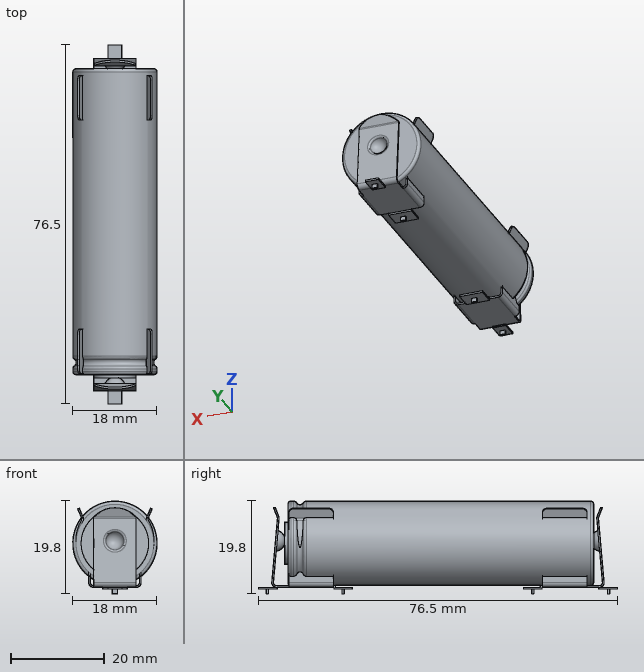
import cadquery as cq
import math

CELL_RADIUS = 18.0 / 2
CELL_NEGATIVE_END = 33.2
CELL_POSITIVE_END = -32.0
CELL_EDGE_RADIUS = 0.7
BUTTON_RADIUS = 4.5
BUTTON_HEIGHT = 0.7
SEAL_RADIUS = 7.2
SEAL_DEPTH = 0.1
GROOVE_CENTRE = -29.4
GROOVE_HALF_WIDTH = 1.4
GROOVE_DEPTH = 0.73

SHEET = 0.4
BEND_RADIUS = 1.0
INNER_BEND_RADIUS = BEND_RADIUS - SHEET
BASE_TOP = -CELL_RADIUS
BASE_BOTTOM = BASE_TOP - SHEET

ARM_INNER_END = 22.3
ARM_OUTER_END = 31.75
ARM_LENGTH = ARM_OUTER_END - ARM_INNER_END
CLIP_CENTRE = 0.5
ARM_RADIUS = 8.35
LEG_OUTSIDE = 5.6
LEG_TOP = -5.35
LIP_START_ANGLE = 33.0
LIP_LEAN = 23.0
LIP_LENGTH = 2.45
LIP_CORNER_RADIUS = 1.0

LEAF_WIDTH = 9.0
LEAF_FOOT = 35.5
LEAF_BASE = (LEAF_FOOT, BASE_BOTTOM)
LEAF_KNEE = (34.2, 5.4)
LEAF_TIP = (35.05, 7.6)
LEAF_TIP_RADIUS = 6.1

DIMPLE_INNER_RADIUS = 2.0
DIMPLE_OUTER_RADIUS = 2.3
DIMPLE_RIM_RADIUS = 0.5
DIMPLE_SETBACK = 0.15

TAB_TOP = BASE_BOTTOM
TAB_BOTTOM = TAB_TOP - SHEET
OUTER_TAB_WIDTH = 3.0
OUTER_TAB_START = 34.2
OUTER_TAB_END = 38.25
INNER_TAB_WIDTH = 5.3
INNER_TAB_START = 22.2
INNER_TAB_END = 18.2
TONGUE_END = INNER_TAB_START - SHEET
PIN_POSITIONS = (20.2, 36.35)
PIN_WIDTH = 1.15
PIN_THICKNESS = 0.5
OVERALL_HEIGHT = 19.8
PIN_BOTTOM = CELL_RADIUS - OVERALL_HEIGHT
PIN_CHAMFER = 0.15


def block(width, y_range, z_range):
    """Box centred in X that spans the given Y and Z ranges."""
    y_low, y_high = sorted(y_range)
    z_low, z_high = sorted(z_range)
    return (
        cq.Workplane("XY")
        .box(width, y_high - y_low, z_high - z_low, centered=(True, False, False))
        .translate((0, y_low, z_low))
    )


def make_cell():
    """Turned cell: crimp groove of four tangent arcs, rounded ends and a button."""
    edge_shift = CELL_EDGE_RADIUS * (1 - math.sqrt(0.5))
    rim_radius = CELL_RADIUS - CELL_EDGE_RADIUS
    floor_radius = CELL_RADIUS - GROOVE_DEPTH
    mid_radius = CELL_RADIUS - GROOVE_DEPTH / 2
    button_end = CELL_POSITIVE_END - BUTTON_HEIGHT
    profile = (
        cq.Workplane("XY")
        .moveTo(0, button_end)
        .lineTo(BUTTON_RADIUS, button_end)
        .lineTo(BUTTON_RADIUS, CELL_POSITIVE_END + SEAL_DEPTH)
        .lineTo(SEAL_RADIUS, CELL_POSITIVE_END + SEAL_DEPTH)
        .lineTo(SEAL_RADIUS, CELL_POSITIVE_END)
        .lineTo(rim_radius, CELL_POSITIVE_END)
        .threePointArc(
            (CELL_RADIUS - edge_shift, CELL_POSITIVE_END + edge_shift),
            (CELL_RADIUS, CELL_POSITIVE_END + CELL_EDGE_RADIUS),
        )
        .lineTo(CELL_RADIUS, GROOVE_CENTRE - GROOVE_HALF_WIDTH)
        .tangentArcPoint((mid_radius, GROOVE_CENTRE - GROOVE_HALF_WIDTH / 2), relative=False)
        .tangentArcPoint((floor_radius, GROOVE_CENTRE), relative=False)
        .tangentArcPoint((mid_radius, GROOVE_CENTRE + GROOVE_HALF_WIDTH / 2), relative=False)
        .tangentArcPoint((CELL_RADIUS, GROOVE_CENTRE + GROOVE_HALF_WIDTH), relative=False)
        .lineTo(CELL_RADIUS, CELL_NEGATIVE_END - CELL_EDGE_RADIUS)
        .threePointArc(
            (CELL_RADIUS - edge_shift, CELL_NEGATIVE_END - edge_shift),
            (rim_radius, CELL_NEGATIVE_END),
        )
        .lineTo(0, CELL_NEGATIVE_END)
        .close()
    )
    return profile.revolve(360, (0, 0, 0), (0, 1, 0))


def make_cradle():
    """Base plate with an upright leg along each side."""
    arm_range = (ARM_INNER_END, ARM_OUTER_END)
    outside = block(2 * LEG_OUTSIDE, arm_range, (BASE_BOTTOM, LEG_TOP))
    outside = outside.edges("|Y and <Z").fillet(BEND_RADIUS)
    inside = block(2 * (LEG_OUTSIDE - SHEET), arm_range, (BASE_TOP, LEG_TOP))
    inside = inside.edges("|Y and <Z").fillet(INNER_BEND_RADIUS)
    middle_radius = ARM_RADIUS - SHEET / 2
    arm_plane = cq.Workplane("XZ", origin=(0, 0, CLIP_CENTRE))
    arm_circle = arm_plane.circle(middle_radius).extrude(-ARM_OUTER_END)
    return outside.cut(inside).cut(arm_circle)


def make_arm():
    """Curved arm on the +X side with a lip that flares outward at its top."""
    inner_radius = ARM_RADIUS - SHEET
    leg_inside = LEG_OUTSIDE - SHEET
    start_angle = math.radians(LIP_START_ANGLE)
    lean = math.radians(LIP_LEAN)
    along = cq.Vector(math.sin(lean), math.cos(lean))
    across = cq.Vector(math.cos(lean), -math.sin(lean))

    outer_foot = (LEG_OUTSIDE, -math.sqrt(ARM_RADIUS**2 - LEG_OUTSIDE**2))
    inner_foot = (leg_inside, -math.sqrt(inner_radius**2 - leg_inside**2))
    outer_bend = cq.Vector(math.cos(start_angle), math.sin(start_angle)) * ARM_RADIUS
    outer_tip = outer_bend + along * LIP_LENGTH
    inner_tip = outer_tip - across * SHEET
    reach = inner_tip.dot(along)
    run = reach - math.sqrt(reach**2 - inner_tip.dot(inner_tip) + inner_radius**2)
    inner_bend = inner_tip - along * run

    profile = (
        cq.Workplane("XZ", origin=(0, ARM_INNER_END, CLIP_CENTRE))
        .moveTo(*outer_foot)
        .threePointArc((ARM_RADIUS, 0), (outer_bend.x, outer_bend.y))
        .lineTo(outer_tip.x, outer_tip.y)
        .lineTo(inner_tip.x, inner_tip.y)
        .lineTo(inner_bend.x, inner_bend.y)
        .threePointArc((inner_radius, 0), inner_foot)
        .close()
    )
    arm = profile.extrude(-ARM_LENGTH)
    tip = (outer_tip + inner_tip) * 0.5
    middle = (ARM_INNER_END + ARM_OUTER_END) / 2
    rounded_edges = (
        (outer_bend, middle, INNER_BEND_RADIUS),
        (inner_bend, middle, BEND_RADIUS),
        (tip, ARM_INNER_END, LIP_CORNER_RADIUS),
        (tip, ARM_OUTER_END, LIP_CORNER_RADIUS),
    )
    for point, y, radius in rounded_edges:
        edge = cq.selectors.NearestToPointSelector((point.x, y, point.y + CLIP_CENTRE))
        arm = arm.edges(edge).fillet(radius)
    return arm


def unit(start, end):
    """Unit vector from one Y, Z point to another."""
    return (cq.Vector(*end) - cq.Vector(*start)).normalized()


def leaf_rise():
    """Unit vectors in the Y, Z plane: up along the leaf, and through it toward the cell."""
    rise = unit(LEAF_BASE, LEAF_KNEE)
    return rise, cq.Vector(-rise.y, rise.x)


def make_leaf():
    """Contact leaf rising from the base plate, with a round tip and a dimple."""
    rise, rise_inward = leaf_rise()
    flare = unit(LEAF_KNEE, LEAF_TIP)
    knee_half_turn = rise.getAngle(flare) / 2
    lean = math.asin(-rise.x)

    flare_inward = cq.Vector(-flare.y, flare.x)
    knee_mitre = (rise_inward + flare_inward).normalized() * (SHEET / math.cos(knee_half_turn))
    inner_knee = cq.Vector(*LEAF_KNEE) + knee_mitre
    inner_tip = cq.Vector(*LEAF_TIP) + flare_inward * SHEET
    foot_shift = SHEET * (1 / math.cos(lean) + math.tan(lean))
    inner_foot = (LEAF_FOOT - foot_shift, BASE_TOP)

    leaf = (
        cq.Workplane("YZ")
        .polyline(
            [
                (ARM_OUTER_END, BASE_BOTTOM),
                LEAF_BASE,
                LEAF_KNEE,
                LEAF_TIP,
                (inner_tip.x, inner_tip.y),
                (inner_knee.x, inner_knee.y),
                inner_foot,
                (ARM_OUTER_END, BASE_TOP),
            ]
        )
        .close()
        .extrude(LEAF_WIDTH / 2, both=True)
    )
    bends = (
        (LEAF_BASE, BEND_RADIUS),
        (inner_foot, INNER_BEND_RADIUS),
        (LEAF_KNEE, INNER_BEND_RADIUS),
        ((inner_knee.x, inner_knee.y), BEND_RADIUS),
    )
    for (y, z), radius in bends:
        leaf = leaf.edges(cq.selectors.NearestToPointSelector((0, y, z))).fillet(radius)
    return round_leaf_tip(leaf).union(make_bulge()).cut(make_hollow())


def round_leaf_tip(leaf):
    """Trim the leaf's free end to an arc."""
    arc_centre = LEAF_TIP[1] - LEAF_TIP_RADIUS
    depth = LEAF_FOOT + SHEET
    disc = cq.Workplane("XZ").center(0, arc_centre).circle(LEAF_TIP_RADIUS).extrude(-depth)
    below = block(LEAF_WIDTH, (0, depth), (BASE_BOTTOM, arc_centre))
    return leaf.intersect(disc.union(below))


def dimple_workplane():
    """Plane at the dimple's sphere centre, its local Y along the axis toward the cell."""
    rise, inward = leaf_rise()
    on_face = cq.Vector(*LEAF_BASE) + rise * ((CLIP_CENTRE - BASE_BOTTOM) / rise.y)
    centre = on_face - inward * DIMPLE_SETBACK
    return cq.Workplane(
        cq.Plane(origin=(0, centre.x, centre.y), xDir=(1, 0, 0), normal=(0, -inward.y, inward.x))
    )


def make_bulge():
    """Solid spherical bulge on the side of the leaf that faces the cell."""
    buried = DIMPLE_SETBACK + SHEET / 2
    return (
        dimple_workplane()
        .moveTo(0, buried)
        .lineTo(math.sqrt(DIMPLE_OUTER_RADIUS**2 - buried**2), buried)
        .radiusArc((0, DIMPLE_OUTER_RADIUS), -DIMPLE_OUTER_RADIUS)
        .close()
        .revolve(360, (0, 0, 0), (0, 1, 0))
    )


def make_hollow():
    """Spherical hollow of the dimple, with a rounded rim on the leaf's outer face."""
    centre_distance = DIMPLE_INNER_RADIUS + DIMPLE_RIM_RADIUS
    rim_depth = DIMPLE_SETBACK + DIMPLE_RIM_RADIUS
    rim_start = math.sqrt(centre_distance**2 - rim_depth**2)
    contact_scale = DIMPLE_INNER_RADIUS / centre_distance
    return (
        dimple_workplane()
        .moveTo(0, DIMPLE_SETBACK)
        .lineTo(rim_start, DIMPLE_SETBACK)
        .radiusArc((rim_start * contact_scale, rim_depth * contact_scale), DIMPLE_RIM_RADIUS)
        .radiusArc((0, DIMPLE_INNER_RADIUS), -DIMPLE_INNER_RADIUS)
        .close()
        .revolve(360, (0, 0, 0), (0, 1, 0))
    )


def make_tabs():
    """Solder tabs one sheet below the base plate, each with a chamfered pin."""
    tabs = block(OUTER_TAB_WIDTH, (OUTER_TAB_START, OUTER_TAB_END), (TAB_BOTTOM, TAB_TOP))
    tabs = tabs.union(
        block(INNER_TAB_WIDTH, (INNER_TAB_END, INNER_TAB_START), (TAB_BOTTOM, TAB_TOP))
    )
    tabs = tabs.union(
        block(INNER_TAB_WIDTH, (TONGUE_END, ARM_INNER_END), (BASE_BOTTOM, BASE_TOP))
    )
    for y in PIN_POSITIONS:
        sides = (y - PIN_THICKNESS / 2, y + PIN_THICKNESS / 2)
        pin = block(PIN_WIDTH, sides, (PIN_BOTTOM, TAB_BOTTOM))
        tabs = tabs.union(pin.edges("|X and <Z").chamfer(PIN_CHAMFER))
    return tabs


def make_clip():
    """One spring clip for the +Y end of the cell."""
    arm = make_arm()
    clip = make_cradle().union(arm).union(arm.mirror("YZ"))
    return clip.union(make_leaf()).union(make_tabs())


def turned(body, angle):
    """Copy of a body turned about the Z axis."""
    return body.rotate((0, 0, 0), (0, 0, 1), angle)


clip_shape = make_clip()
dimple_seat = make_bulge()
cell = make_cell()
clips = []
for angle in (0, 180):
    clips.append(turned(clip_shape, angle))
    cell = cell.cut(turned(clip_shape, angle)).cut(turned(dimple_seat, angle))

result = cq.Compound.makeCompound([cell.val(), *[clip.val() for clip in clips]])